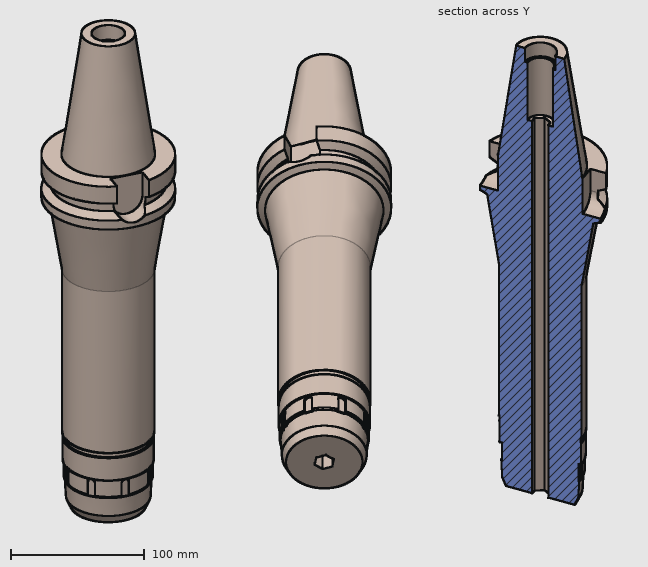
import cadquery as cq

total_length = 402.0

taper_length = 102.5
taper_top_radius = 20.0
taper_gauge_radius = 35.0
gauge_z = total_length - taper_length
gauge_land_height = 1.0

flange_top_z = gauge_z - gauge_land_height
flange_diameter = 100.0
flange_radius = flange_diameter / 2
v_groove_radius = 43.5
upper_rim_height = 14.5
v_groove_floor_top = 18.0
v_groove_floor_bottom = 24.5
lower_rim_top = 29.0
lower_rim_bottom = 36.5
collar_offset = 39.0
collar_radius = 44.0

slot_width = 25.7
slot_floor_distance = 35.5
slot_depth = 32.5

flare_end_z = 200.5
body_radius = 34.5
sleeve_radius = 34.0
sleeve_bottom_z = 38.5
parting_top_z = 62.3
parting_floor_z = 58.5
parting_bottom_z = 58.0
parting_radius = 33.8

nut_radius = 33.5
nut_band_bottom_z = 24.5
nose_top_radius = 32.5
nose_top_z = 23.0
nose_bottom_radius = 31.7
nose_bottom_z = 7.2
nut_end_radius = 28.5

notch_count = 8
notch_width = 6.0
notch_depth = 1.5
notch_bottom_z = nose_top_z
notch_top_z = 38.0

mouth_radius = 12.5
mouth_depth = 12.5
bore_radius = 10.5
bore_depth = 64.3
hex_across_corners = 15.3


def turned_body():
    """Revolve the half outline (radius, height) about the Z axis."""
    outline = [
        (0, total_length),
        (taper_top_radius, total_length),
        (taper_gauge_radius, gauge_z),
        (taper_gauge_radius, flange_top_z),
        (flange_radius, flange_top_z),
        (flange_radius, flange_top_z - upper_rim_height),
        (v_groove_radius, flange_top_z - v_groove_floor_top),
        (v_groove_radius, flange_top_z - v_groove_floor_bottom),
        (flange_radius, flange_top_z - lower_rim_top),
        (flange_radius, flange_top_z - lower_rim_bottom),
        (collar_radius, flange_top_z - collar_offset),
        (body_radius, flare_end_z),
        (body_radius, parting_top_z),
        (parting_radius, parting_top_z),
        (parting_radius, parting_floor_z),
        (sleeve_radius, parting_bottom_z),
        (sleeve_radius, sleeve_bottom_z),
        (nut_radius, sleeve_bottom_z),
        (nut_radius, nut_band_bottom_z),
        (nose_top_radius, nose_top_z),
        (nose_bottom_radius, nose_bottom_z),
        (nut_end_radius, 0),
        (0, 0),
    ]
    return cq.Workplane("XZ").polyline(outline).close().revolve(360, (0, 0, 0), (0, 1, 0))


def radial_cutter(floor_distance, depth, width, flat_z, round_z):
    """Block on the +X side with a flat end at flat_z and a round end reaching round_z."""
    half = width / 2
    center_z = round_z + half if flat_z > round_z else round_z - half
    return (
        cq.Workplane("YZ", origin=(floor_distance, 0, 0))
        .moveTo(-half, flat_z)
        .lineTo(-half, center_z)
        .threePointArc((0, round_z), (half, center_z))
        .lineTo(half, flat_z)
        .close()
        .extrude(depth)
    )


def cut_around(body, cutter, count):
    """Cut count copies of the cutter, evenly spaced about the Z axis."""
    for index in range(count):
        body = body.cut(cutter.rotate((0, 0, 0), (0, 0, 1), index * 360 / count))
    return body


def cut_bore(body):
    """Counterbored drawbar hole from the top and a hexagon right through."""
    top = cq.Workplane("XY", origin=(0, 0, total_length))
    mouth = top.circle(mouth_radius).extrude(-mouth_depth)
    bore = top.circle(bore_radius).extrude(-bore_depth)
    hexagon = cq.Workplane("XY").polygon(6, hex_across_corners).extrude(total_length)
    hexagon = hexagon.rotate((0, 0, 0), (0, 0, 1), 90)
    return body.cut(mouth).cut(bore).cut(hexagon)


drive_slot = radial_cutter(
    slot_floor_distance, flange_radius, slot_width, gauge_z, flange_top_z - slot_depth
)
spanner_notch = radial_cutter(
    nut_radius - notch_depth, 2 * notch_depth, notch_width, notch_bottom_z, notch_top_z
)

result = turned_body()
result = cut_around(result, drive_slot, 2)
result = cut_around(result, spanner_notch, notch_count)
result = cut_bore(result)